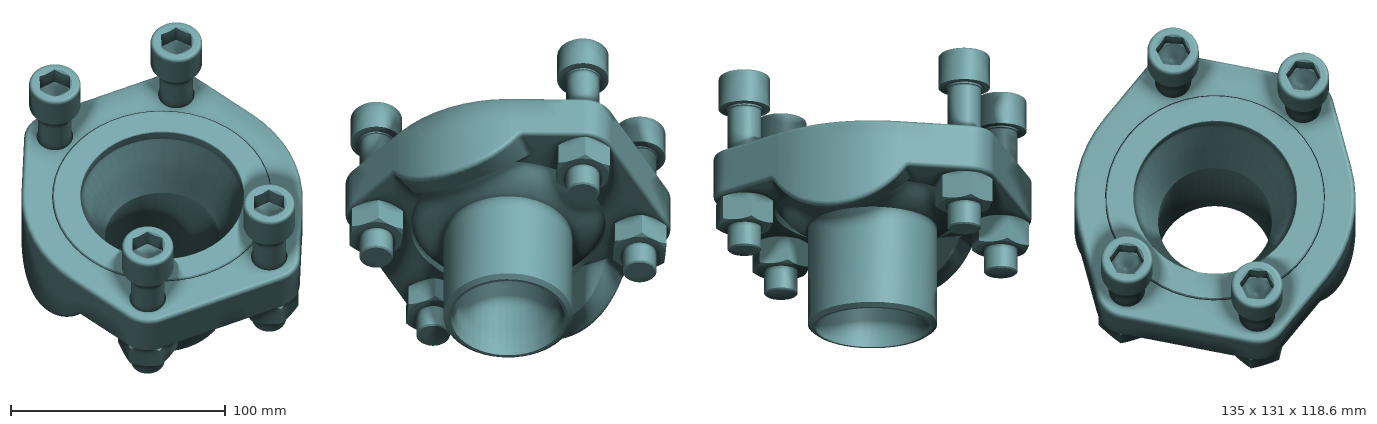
import cadquery as cq
import math


BOLT_SPACING_X = 106.4
BOLT_SPACING_Y = 61.9
BOLT_X = BOLT_SPACING_X / 2
BOLT_Y = BOLT_SPACING_Y / 2
BOLT_CENTRES = [(sx * BOLT_X, sy * BOLT_Y) for sx in (-1, 1) for sy in (-1, 1)]

FLANGE_WIDTH = 135.0
FLANGE_DEPTH = 131.0
FLANGE_THICKNESS = 22.3
FLANGE_EDGE_FILLET = 2.0
BOLT_HOLE_DIAMETER = 17.0
COUNTERBORE_DIAMETER = 102.4
NECK_HOLE_DIAMETER = 90.95

LUG_DROP = 41.3
LUG_RADIUS = 38.6
LUG_SLOPE = 9.5
LUG_GAP = 83.0
LUG_GAP_LEAN = 36.0
LUG_ROOT_FILLET = 2.5

INSERT_LENGTH = 80.0
INSERT_STANDOUT = 0.6
INSERT_HEAD_DIAMETER = 101.6
INSERT_HEAD_THICKNESS = 14.3
INSERT_NECK_DIAMETER = 90.0
INSERT_EDGE_CHAMFER = 0.5
SHOULDER_TOP_DEPTH = 19.2
SHOULDER_BOTTOM_DEPTH = 30.5
SHOULDER_ARC_RADIUS = 32.0
TUBE_DIAMETER = 60.3
TUBE_BORE = 53.1
TUBE_BEVEL_WIDTH = 2.2
TUBE_BEVEL_HEIGHT = 1.7
MOUTH_DIAMETER = 76.0
MOUTH_DEPTH = 5.0
MOUTH_CHAMFER = 0.3
FUNNEL_BOTTOM_DEPTH = 30.3
FUNNEL_ARC_RADIUS = 150.0

SCREW_HEAD_DIAMETER = 24.0
SCREW_HEAD_HEIGHT = 16.0
SCREW_HEAD_FILLET = 1.6
SCREW_LENGTH = 70.0
SCREW_TOP = 39.2
SHANK_DIAMETER = 15.68
SHANK_TIP_DIAMETER = 14.34
COLLAR_DIAMETER = 17.0
COLLAR_HEIGHT = 0.7
SOCKET_WIDTH = 14.0
SOCKET_DEPTH = 9.0
SOCKET_TURN = 37.0
SOCKET_POINT_ANGLE = 120.0

NUT_WIDTH = 24.0
NUT_HEIGHT = 13.0
NUT_CHAMFER_ANGLE = 30.0


def hexagon_corner_diameter(width):
    """Diameter across the corners of a hexagon of the given width across its flats."""
    return width / math.cos(math.pi / 6)


def flange_outline():
    """Four corner arcs centred on the bolts, tangent to two end arcs centred on the bore."""
    half_width = FLANGE_WIDTH / 2
    end_radius = FLANGE_DEPTH / 2
    corner_radius = half_width - BOLT_X
    bolt_distance = math.hypot(BOLT_X, BOLT_Y)
    bolt_angle = math.atan2(BOLT_Y, BOLT_X)
    normal_angle = bolt_angle + math.acos((end_radius - corner_radius) / bolt_distance)
    end_x = end_radius * math.cos(normal_angle)
    end_y = end_radius * math.sin(normal_angle)
    corner_x = BOLT_X + corner_radius * math.cos(normal_angle)
    corner_y = BOLT_Y + corner_radius * math.sin(normal_angle)
    middle_x = BOLT_X + corner_radius * math.cos(normal_angle / 2)
    middle_y = BOLT_Y + corner_radius * math.sin(normal_angle / 2)
    return (
        cq.Workplane("XY")
        .moveTo(half_width, -BOLT_Y)
        .lineTo(half_width, BOLT_Y)
        .threePointArc((middle_x, middle_y), (corner_x, corner_y))
        .lineTo(end_x, end_y)
        .threePointArc((0, end_radius), (-end_x, end_y))
        .lineTo(-corner_x, corner_y)
        .threePointArc((-middle_x, middle_y), (-half_width, BOLT_Y))
        .lineTo(-half_width, -BOLT_Y)
        .threePointArc((-middle_x, -middle_y), (-corner_x, -corner_y))
        .lineTo(-end_x, -end_y)
        .threePointArc((0, -end_radius), (end_x, -end_y))
        .lineTo(corner_x, -corner_y)
        .threePointArc((middle_x, -middle_y), (half_width, -BOLT_Y))
        .close()
    )


def lug_cylinder(side):
    """Cylinder sloping down towards the end of the flange, where its underside is LUG_DROP deep."""
    end_y = FLANGE_DEPTH / 2
    slope = math.tan(math.radians(LUG_SLOPE))
    start = cq.Vector(0, side * BOLT_Y, LUG_RADIUS - LUG_DROP + (end_y - BOLT_Y) * slope)
    return cq.Workplane(
        cq.Solid.makeCylinder(LUG_RADIUS, FLANGE_DEPTH, start, cq.Vector(0, side, -slope))
    )


def lug_gap():
    """Space between the two lugs, whose facing ends lean apart towards the bottom."""
    depth = 2 * LUG_DROP
    half_width_below = LUG_GAP / 2 + (depth - FLANGE_THICKNESS) * math.tan(math.radians(LUG_GAP_LEAN))
    return (
        cq.Workplane("YZ")
        .moveTo(-LUG_GAP / 2, -FLANGE_THICKNESS)
        .lineTo(LUG_GAP / 2, -FLANGE_THICKNESS)
        .lineTo(half_width_below, -depth)
        .lineTo(-half_width_below, -depth)
        .close()
        .extrude(FLANGE_WIDTH, both=True)
    )


def make_flange():
    """Bolted clamp plate with two end lugs, stepped for the head and neck of the insert."""
    column = flange_outline().extrude(-2 * LUG_DROP)
    flange = flange_outline().extrude(-FLANGE_THICKNESS)
    below_mid_plate = cq.Workplane("XY").box(
        2 * FLANGE_WIDTH, 2 * FLANGE_DEPTH, 2 * LUG_DROP, centered=(True, True, False)
    ).translate((0, 0, -2 * LUG_DROP - FLANGE_THICKNESS / 2))
    for side in (-1, 1):
        flange = flange.union(lug_cylinder(side).intersect(column).intersect(below_mid_plate))

    flange = flange.edges("%ELLIPSE").edges(">Z").fillet(LUG_ROOT_FILLET)
    flange = flange.faces("<X").edges("<Z").fillet(FLANGE_EDGE_FILLET)
    flange = flange.faces(">Z").edges().fillet(FLANGE_EDGE_FILLET)

    flange = flange.cut(lug_gap())
    ledge_depth = INSERT_HEAD_THICKNESS - INSERT_STANDOUT
    flange = flange.cut(cq.Workplane("XY").circle(COUNTERBORE_DIAMETER / 2).extrude(-ledge_depth))
    flange = flange.cut(cq.Workplane("XY").circle(NECK_HOLE_DIAMETER / 2).extrude(-2 * LUG_DROP))
    bolt_holes = cq.Workplane("XY").pushPoints(BOLT_CENTRES).circle(BOLT_HOLE_DIAMETER / 2)
    return flange.cut(bolt_holes.extrude(-2 * LUG_DROP))


def make_insert():
    """Weld insert: headed tube whose mouth narrows to the tube bore along a flared arc."""
    top = INSERT_STANDOUT
    bottom = top - INSERT_LENGTH
    head_bottom = top - INSERT_HEAD_THICKNESS
    head_radius = INSERT_HEAD_DIAMETER / 2
    neck_radius = INSERT_NECK_DIAMETER / 2
    tube_radius = TUBE_DIAMETER / 2
    bore_radius = TUBE_BORE / 2
    mouth_radius = MOUTH_DIAMETER / 2
    mouth_bottom = top - MOUTH_DEPTH

    profile = (
        cq.Workplane("XZ")
        .moveTo(bore_radius, bottom)
        .lineTo(tube_radius - TUBE_BEVEL_WIDTH, bottom)
        .lineTo(tube_radius, bottom + TUBE_BEVEL_HEIGHT)
        .lineTo(tube_radius, -SHOULDER_BOTTOM_DEPTH)
        .radiusArc((neck_radius, -SHOULDER_TOP_DEPTH), -SHOULDER_ARC_RADIUS)
        .lineTo(neck_radius, head_bottom)
        .lineTo(head_radius, head_bottom)
        .lineTo(head_radius, top - INSERT_EDGE_CHAMFER)
        .lineTo(head_radius - INSERT_EDGE_CHAMFER, top)
        .lineTo(mouth_radius + MOUTH_CHAMFER, top)
        .lineTo(mouth_radius, top - MOUTH_CHAMFER)
        .lineTo(mouth_radius, mouth_bottom)
        .radiusArc((bore_radius, -FUNNEL_BOTTOM_DEPTH), -FUNNEL_ARC_RADIUS)
        .close()
    )
    return profile.revolve(360, (0, 0, 0), (0, 1, 0))


def make_screw(centre):
    """Socket head cap screw standing on the given bolt centre."""
    head_bottom = SCREW_TOP - SCREW_HEAD_HEIGHT
    tip = head_bottom - SCREW_LENGTH
    head_radius = SCREW_HEAD_DIAMETER / 2
    shank_radius = SHANK_DIAMETER / 2
    tip_radius = SHANK_TIP_DIAMETER / 2
    collar_radius = COLLAR_DIAMETER / 2
    collar_bottom = head_bottom - COLLAR_HEIGHT
    collar_step = collar_radius - shank_radius
    tip_chamfer = shank_radius - tip_radius
    turned = (
        cq.Workplane("XZ")
        .moveTo(0, tip)
        .lineTo(tip_radius, tip)
        .lineTo(shank_radius, tip + tip_chamfer)
        .lineTo(shank_radius, collar_bottom - collar_step)
        .radiusArc((collar_radius, collar_bottom), collar_step)
        .lineTo(collar_radius, head_bottom)
        .lineTo(head_radius, head_bottom)
        .lineTo(head_radius, SCREW_TOP)
        .lineTo(0, SCREW_TOP)
        .close()
        .revolve(360, (0, 0, 0), (0, 1, 0))
    )
    turned = turned.faces(">Z").edges().fillet(SCREW_HEAD_FILLET)

    socket_corner = hexagon_corner_diameter(SOCKET_WIDTH)
    socket_bottom = SCREW_TOP - SOCKET_DEPTH
    socket = (
        cq.Workplane("XY")
        .workplane(offset=socket_bottom)
        .polygon(6, socket_corner)
        .extrude(SOCKET_DEPTH)
        .rotate((0, 0, 0), (0, 0, 1), SOCKET_TURN)
    )
    cone_slope = 1 / math.tan(math.radians(SOCKET_POINT_ANGLE / 2))
    lead_in = cq.Workplane(
        cq.Solid.makeCone(
            socket_corner / 2,
            0,
            socket_corner / 2 * cone_slope,
            cq.Vector(0, 0, SCREW_TOP),
            cq.Vector(0, 0, -1),
        )
    )
    point = cq.Workplane(
        cq.Solid.makeCone(
            SOCKET_WIDTH / 2,
            0,
            SOCKET_WIDTH / 2 * cone_slope,
            cq.Vector(0, 0, socket_bottom),
            cq.Vector(0, 0, -1),
        )
    )
    screw = turned.cut(socket).cut(lead_in).cut(point)
    return screw.translate((centre[0], centre[1], 0))


def make_nut(centre):
    """Hexagon nut against the underside of the flange, chamfered on both faces."""
    corner_diameter = hexagon_corner_diameter(NUT_WIDTH)
    corner_drop = (corner_diameter - NUT_WIDTH) / 2 * math.tan(math.radians(NUT_CHAMFER_ANGLE))
    hexagon = cq.Workplane("XY").polygon(6, corner_diameter).extrude(-NUT_HEIGHT)
    envelope = (
        cq.Workplane("XZ")
        .lineTo(NUT_WIDTH / 2, 0)
        .lineTo(corner_diameter / 2, -corner_drop)
        .lineTo(corner_diameter / 2, corner_drop - NUT_HEIGHT)
        .lineTo(NUT_WIDTH / 2, -NUT_HEIGHT)
        .lineTo(0, -NUT_HEIGHT)
        .close()
        .revolve(360, (0, 0, 0), (0, 1, 0))
    )
    thread = cq.Workplane("XY").circle(SHANK_DIAMETER / 2).extrude(-NUT_HEIGHT)
    nut = hexagon.intersect(envelope).cut(thread)
    return nut.translate((centre[0], centre[1], -FLANGE_THICKNESS))


flange = make_flange()
insert = make_insert()
screws = [make_screw(centre) for centre in BOLT_CENTRES]
nuts = [make_nut(centre) for centre in BOLT_CENTRES]

result = cq.Compound.makeCompound(
    [flange.val(), insert.val()] + [screw.val() for screw in screws] + [nut.val() for nut in nuts]
)